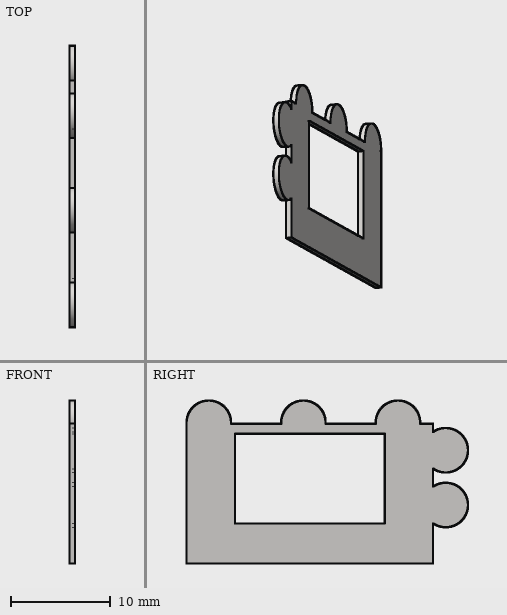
import cadquery as cq

thickness = 0.6
overall_length = 28.3
overall_height = 16.39
tab_radius = 2.25

body_length = 24.78
body_height = 14.05

window_length = 15.0
window_height = 9.0
window_start_y = 4.9
window_start_z = 4.03

top_tab_count = 3
top_tab_pitch = 9.5
first_top_tab_y = tab_radius
top_tab_z = overall_height - tab_radius

side_tab_count = 2
side_tab_pitch = 5.5
side_tab_y = overall_length - tab_radius
lowest_side_tab_z = 5.88


def block(start_y, start_z, length, height):
    """Plate-thick rectangular block with its lowest corner at (start_y, start_z)."""
    corner = (0, start_y, start_z)
    return cq.Workplane("XY").box(thickness, length, height, centered=False).translate(corner)


def round_tab(center_y, center_z):
    """Plate-thick disc centred at (center_y, center_z)."""
    return cq.Workplane("YZ").center(center_y, center_z).circle(tab_radius).extrude(thickness)


plate = block(0, 0, body_length, body_height)

for i in range(top_tab_count):
    plate = plate.union(round_tab(first_top_tab_y + i * top_tab_pitch, top_tab_z))

for i in range(side_tab_count):
    plate = plate.union(round_tab(side_tab_y, lowest_side_tab_z + i * side_tab_pitch))

window = block(window_start_y, window_start_z, window_length, window_height)

result = plate.cut(window)